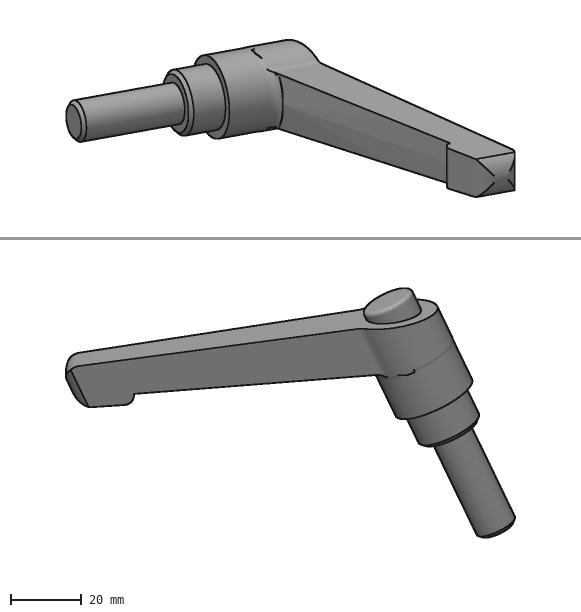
import cadquery as cq
import math


STUD_RADIUS = 6.0
STUD_LENGTH = 32.0
STUD_CHAMFER = 1.1

BUSHING_RADIUS = 9.5
BUSHING_LENGTH = 11.1
BUSHING_CHAMFER = 1.1

COLLAR_RADIUS = 12.0
COLLAR_TOP = 24.0
HEAD_RADIUS = 12.1

BUTTON_RADIUS = 7.6
BUTTON_TOP = 43.1
BUTTON_FILLET = 1.2

ARM_END_X = 92.0
NOSE_START_X = 89.0
HALF_WIDTH_AT_AXIS = 8.7
WIDTH_TAPER = 0.0327
ROOT_FILLET = 3.0

TOP_SLOPE = math.tan(math.radians(16.0))
TOP_AT_AXIS = 38.45
NOTCH_X = 75.65
NOTCH_Y = 49.25
RIDGE_ANGLE = math.radians(20.0)
RIDGE_SLOPE = math.tan(RIDGE_ANGLE)
EDGE_SLOPE = 0.35

LIP_RADIUS = 3.0
LIP_LENGTH = 3.9
LIP_DROP = 1.9
LIP_MID_ANGLE = math.radians(-115.0)
TIP_TOP_FILLET = 4.5
TIP_BOTTOM_FILLET = 6.0

BLANK_TOP = 80.0
BLANK_HALF_WIDTH = 20.0
TOP_STOCK = 5.0
SECTION_WIDENING = 1.6
FLARE_ANGLE = math.radians(72.0)
FLARE_RIM = 0.5


def top_y(x):
    return TOP_AT_AXIS + TOP_SLOPE * x


def ridge_y(x):
    return NOTCH_Y + RIDGE_SLOPE * (x - NOTCH_X)


def edge_y(x):
    return NOTCH_Y + EDGE_SLOPE * (x - NOTCH_X)


def half_width(x):
    return HALF_WIDTH_AT_AXIS - WIDTH_TAPER * x


def post(radius, bottom, top):
    """Cylinder on the stud axis, with its seam on the -X side, away from the arm."""
    plane = cq.Plane(origin=(0, bottom, 0), xDir=(-1, 0, 0), normal=(0, 1, 0))
    return cq.Workplane(plane).circle(radius).extrude(top - bottom)


def make_plan_blank():
    """Plan outline of head and arm, with filleted corners where they meet, as a tall prism."""
    arm = (
        cq.Workplane("XZ", origin=(0, COLLAR_TOP, 0))
        .moveTo(0, half_width(0))
        .lineTo(NOSE_START_X, half_width(NOSE_START_X))
        .threePointArc((ARM_END_X, 0), (NOSE_START_X, -half_width(NOSE_START_X)))
        .lineTo(0, -half_width(0))
        .close()
        .extrude(COLLAR_TOP - BLANK_TOP)
    )
    blank = post(HEAD_RADIUS, COLLAR_TOP, BLANK_TOP).union(arm)
    root_corners = cq.selectors.BoxSelector(
        (0, 0, -HEAD_RADIUS), (HEAD_RADIUS, BLANK_TOP, HEAD_RADIUS)
    )
    return blank.edges("|Y").edges(root_corners).fillet(ROOT_FILLET)


def beam_section(x):
    """Cross-section of the arm with its sloping underside carried on past the sides."""
    half = half_width(x) * SECTION_WIDENING
    outer_y = ridge_y(x) + (edge_y(x) - ridge_y(x)) * SECTION_WIDENING
    corners = [
        (x, top_y(x) + TOP_STOCK, half),
        (x, outer_y, half),
        (x, ridge_y(x), 0),
        (x, outer_y, -half),
        (x, top_y(x) + TOP_STOCK, -half),
    ]
    return cq.Wire.makePolygon([cq.Vector(*corner) for corner in corners], close=True)


def make_beam():
    """Ruled body between the stud axis and the notch."""
    return cq.Workplane(cq.Solid.makeLoft([beam_section(0), beam_section(NOTCH_X)], True))


def make_grip():
    """Side profile of the grip, from the notch to the rounded tip."""
    lip_end_x = NOTCH_X + LIP_LENGTH
    lip_end_y = NOTCH_Y - LIP_DROP
    lip_centre_x = lip_end_x - LIP_RADIUS * math.sin(RIDGE_ANGLE)
    lip_centre_y = lip_end_y + LIP_RADIUS * math.cos(RIDGE_ANGLE)
    lip_mid = (
        lip_centre_x + LIP_RADIUS * math.cos(LIP_MID_ANGLE),
        lip_centre_y + LIP_RADIUS * math.sin(LIP_MID_ANGLE),
    )
    tip_bottom_y = lip_end_y + RIDGE_SLOPE * (ARM_END_X - lip_end_x)
    grip = (
        cq.Workplane("XY")
        .moveTo(NOTCH_X, top_y(NOTCH_X))
        .lineTo(NOTCH_X, NOTCH_Y)
        .threePointArc(lip_mid, (lip_end_x, lip_end_y))
        .lineTo(ARM_END_X, tip_bottom_y)
        .lineTo(ARM_END_X, top_y(ARM_END_X))
        .close()
        .extrude(BLANK_HALF_WIDTH, both=True)
    )
    grip = grip.edges("|Z and >X and >Y").fillet(TIP_TOP_FILLET)
    tip_bottom = cq.selectors.NearestToPointSelector((ARM_END_X, tip_bottom_y, 0))
    return grip.edges("|Z").edges(tip_bottom).fillet(TIP_BOTTOM_FILLET)


def flare_point(angle):
    """Radius and height on the root fillet arc, turned by an angle from the collar top."""
    radius = COLLAR_RADIUS + ROOT_FILLET * (1 - math.cos(angle))
    return radius, COLLAR_TOP + ROOT_FILLET * math.sin(angle)


def make_head_core():
    """Head cylinder on a concave flare that grows tangent out of the collar into the arm."""
    flare_mid = flare_point(FLARE_ANGLE / 2)
    flare_radius, flare_top = flare_point(FLARE_ANGLE)
    head_top = top_y(HEAD_RADIUS) + TOP_STOCK
    core_top = flare_top + FLARE_RIM
    core = (
        cq.Workplane("XY")
        .moveTo(0, COLLAR_TOP)
        .lineTo(COLLAR_RADIUS, COLLAR_TOP)
        .threePointArc(flare_mid, (flare_radius, flare_top))
        .lineTo(flare_radius, core_top)
        .lineTo(HEAD_RADIUS, core_top)
        .lineTo(HEAD_RADIUS, head_top)
        .lineTo(0, head_top)
        .close()
        .revolve(360, (0, 0, 0), (0, 1, 0))
    )
    return core.rotate((0, 0, 0), (0, 1, 0), 180)


def above_top():
    """Everything over the sloping top plane, from behind the hub to past the end of the arm."""
    start_x = -2 * HEAD_RADIUS
    end_x = ARM_END_X + HEAD_RADIUS
    return (
        cq.Workplane("XY")
        .moveTo(start_x, top_y(start_x))
        .lineTo(end_x, top_y(end_x))
        .lineTo(end_x, 2 * BLANK_TOP)
        .lineTo(start_x, 2 * BLANK_TOP)
        .close()
        .extrude(BLANK_HALF_WIDTH, both=True)
    )


def make_lever():
    plan = make_plan_blank()
    side = make_head_core().union(make_beam()).union(make_grip())
    lever = plan.intersect(side).cut(above_top())
    return lever.union(post(COLLAR_RADIUS, BUSHING_LENGTH, COLLAR_TOP))


def make_stem():
    """Stud, bushing and button, all on the stud axis."""
    stud = post(STUD_RADIUS, -STUD_LENGTH, 0).faces("<Y").chamfer(STUD_CHAMFER)
    bushing = post(BUSHING_RADIUS, 0, BUSHING_LENGTH).faces("<Y").chamfer(BUSHING_CHAMFER)
    button = post(BUTTON_RADIUS, BUSHING_LENGTH, BUTTON_TOP).faces(">Y").edges().fillet(BUTTON_FILLET)
    return stud.union(bushing).union(button)


result = make_lever().union(make_stem()).clean()